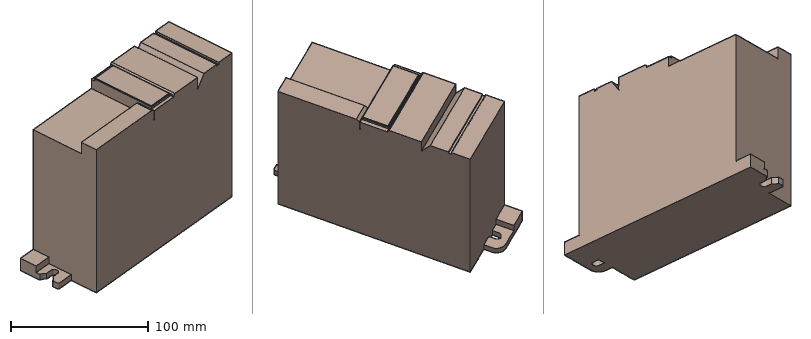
import cadquery as cq

width = 60.0
length = 183.0
height = 130.0
body_front = 14.5
body_back = 168.7

lowered_top = height - 0.5
ledge_top = height - 2.4
floor_level = height - 10.6

label_groove_front = 151.2
label_groove_back = 153.5
label_groove_depth = 1.8
notch_front = 129.5
notch_back = 136.7
ledge_back = 102.5
ledge_bevel_length = 1.3
ledge_bevel_drop = 1.0

pocket_back = 80.5
pocket_width = 45.8
rail_gap = 0.5
rail_slope_length = 2.5
rail_slope_drop = 1.5

panel_inset = 3.0
panel_front = pocket_back
panel_back = 101.7
panel_chamfer = 0.5

block_width = 15.0
block_height = 11.2
tab_right = 36.2
tab_height = 5.3
slot_center = 24.5
slot_width = 6.0
front_slot_end = 12.0
back_slot_end = 177.0
back_corner_radius = 7.7
front_corner_radius = 1.5
flare_depth = 4.2
flare_half_width = 6.0
flare_bulge = 0.4


def box(x0, x1, y0, y1, z0, z1):
    """Box between two opposite corners."""
    return cq.Workplane("XY").box(x1 - x0, y1 - y0, z1 - z0, centered=False).translate((x0, y0, z0))


def extrude_side(points, x0, x1):
    """Extrude a (Y, Z) outline along X."""
    return cq.Workplane("YZ").workplane(offset=x0).polyline(points).close().extrude(x1 - x0)


def make_body():
    """Housing with its stepped and grooved top, left of and behind the rail."""
    outline = [
        (body_front, 0),
        (body_back, 0),
        (body_back, height),
        (label_groove_back, height),
        (label_groove_back, height - label_groove_depth),
        (label_groove_front, height - label_groove_depth),
        (label_groove_front, lowered_top),
        (notch_back, lowered_top),
        (notch_front, floor_level),
        (notch_front, height),
        (ledge_back + ledge_bevel_length, height),
        (ledge_back, height - ledge_bevel_drop),
        (ledge_back, ledge_top),
        (pocket_back, ledge_top),
        (pocket_back, floor_level),
        (body_front, floor_level),
    ]
    return extrude_side(outline, 0, width)


def make_rail():
    """Rail along the right side of the pocket, sloping down at its back end."""
    rail_back = pocket_back - rail_gap
    outline = [
        (body_front, 0),
        (rail_back, 0),
        (rail_back, lowered_top - rail_slope_drop),
        (rail_back - rail_slope_length, lowered_top),
        (body_front, lowered_top),
    ]
    return extrude_side(outline, pocket_width, width)


def make_panel():
    """Raised panel with a chamfered top rim."""
    panel = box(panel_inset, width - panel_inset, panel_front, panel_back, ledge_top, height)
    return panel.faces(">Z").chamfer(panel_chamfer)


def make_front_foot():
    """Block and thin tab with an open slot flaring in hollow arcs towards the front edge."""
    block = box(0, block_width, 0, body_front, 0, block_height)
    tab = box(0, tab_right, 0, body_front, 0, tab_height)
    tab = tab.edges("|Z and >X and <Y").fillet(front_corner_radius)
    half = slot_width / 2
    middle_offset = (half + flare_half_width) / 2 + flare_bulge
    middle_y = flare_depth / 2 + flare_bulge
    slot = (
        cq.Workplane("XY")
        .moveTo(slot_center - flare_half_width, 0)
        .threePointArc((slot_center - middle_offset, middle_y), (slot_center - half, flare_depth))
        .lineTo(slot_center - half, front_slot_end - half)
        .threePointArc((slot_center, front_slot_end), (slot_center + half, front_slot_end - half))
        .lineTo(slot_center + half, flare_depth)
        .threePointArc((slot_center + middle_offset, middle_y), (slot_center + flare_half_width, 0))
        .close()
        .extrude(tab_height)
    )
    return block.union(tab.cut(slot))


def make_back_foot():
    """Block and thin tab with a round-ended slot reaching the housing."""
    block = box(0, block_width, body_back, length, 0, block_height)
    tab = box(0, tab_right, body_back, length, 0, tab_height)
    tab = tab.edges("|Z and >X and >Y").fillet(back_corner_radius)
    half = slot_width / 2
    slot = (
        cq.Workplane("XY")
        .moveTo(slot_center - half, body_back)
        .lineTo(slot_center - half, back_slot_end - half)
        .threePointArc((slot_center, back_slot_end), (slot_center + half, back_slot_end - half))
        .lineTo(slot_center + half, body_back)
        .close()
        .extrude(tab_height)
    )
    return block.union(tab.cut(slot))


result = make_body()
for feature in (make_rail(), make_panel(), make_front_foot(), make_back_foot()):
    result = result.union(feature)